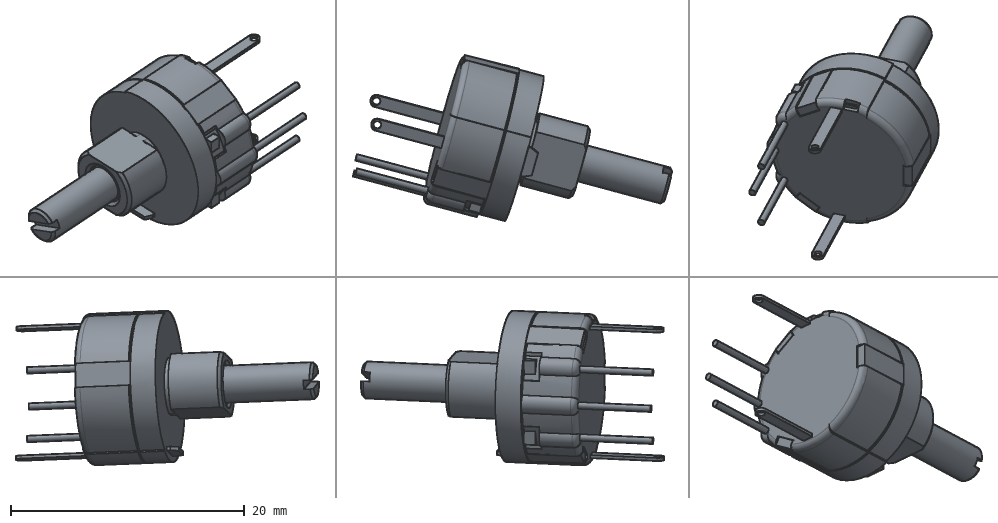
import cadquery as cq
import math


housing_radius = 6.5
relieved_radius = 6.37
relief_x = -2.23
base_length = 2.2
groove_width = 0.15
groove_radius = 6.15
cover_start = base_length + groove_width
cover_end = 7.16
back_fillet = 0.55

strap_angles = (58, 180, 302)
strap_width = 2.1
strap_end = 7.0
strap_inner_radius = 5.5
strap_front_radius = 6.35
strap_back_radius = 6.28

pin_angles = (-30, 0, 30)
pin_circle_radius = 6.0
pin_radius = 0.29
boss_radius = 0.91
terminal_end = 13.5

boss_recess_radius = 6.3
boss_recess_z = 2.01
boss_recess_end = 3.75
boss_block_end = 3.35
boss_block_inner_x = 4.94
boss_block_outer_x = 5.78
boss_block_z = 3.69

blade_z = 5.68
blade_width = 1.04
blade_thickness = 0.28
blade_hole_radius = 0.33
upper_blade_x = 0.52
lower_blade_x = 0.25

notch_start_x = -1.42
notch_end_x = -0.12
notch_front_y = 6.52
notch_floor_z = 5.85
notch_shelf_start_x = -1.13
notch_shelf_y = 6.75
notch_shelf_z = 6.1

collar_length = 0.5
collar_radius = 2.462
bushing_radius = 3.2
bushing_end = -5.05
bushing_chamfer = 0.28
half_across_flats = 2.425
countersink_radius = 2.07
countersink_floor_radius = 1.77
countersink_depth = 0.22

shaft_radius = 1.6
shaft_length = 7.71
shaft_end = bushing_end - shaft_length
shaft_chamfer = 0.25
slot_width = 0.8
slot_depth = 0.8
slot_angle = 24

tab_width = 2.6
tab_thickness = 0.33
tab_length = 0.95
tab_chamfer_width = 0.3
tab_chamfer_length = 0.65
tab_z = -5.68

overlap = 1.0
clearance = 1.0


def cylinder(radius, y_start, y_end, x=0, z=0):
    """Cylinder along Y."""
    axis = cq.Vector(0, 1, 0)
    foot = cq.Vector(x, y_start, z)
    return cq.Workplane(cq.Solid.makeCylinder(radius, y_end - y_start, foot, axis))


def block(x_range, y_range, z_range):
    """Box given by its limits along each axis."""
    ranges = (x_range, y_range, z_range)
    sizes = [end - start for start, end in ranges]
    corner = cq.Vector(*[start for start, end in ranges])
    return cq.Workplane(cq.Solid.makeBox(*sizes, corner))


def turn_about_axis(shape, angle):
    """Turn from +X towards +Z about the shaft axis."""
    return shape.rotate((0, 0, 0), (0, 1, 0), -angle)


def pin_centre(angle):
    angle_rad = math.radians(angle)
    return pin_circle_radius * math.cos(angle_rad), pin_circle_radius * math.sin(angle_rad)


def with_relieved_side(full, relieved):
    """Use the relieved shape on the -X side of the relief line and the full shape elsewhere."""
    reach = housing_radius + clearance
    left_side = block((-reach, relief_x), (-clearance, cover_end + clearance), (-reach, reach))
    return full.cut(left_side).union(relieved.intersect(left_side))


def make_base():
    full = cylinder(housing_radius, 0, base_length)
    relieved = cylinder(relieved_radius, 0, base_length)
    return with_relieved_side(full, relieved).union(cylinder(groove_radius, 0, cover_start + overlap))


def rounded_cylinder(radius, x=0, z=0):
    """Cover-length cylinder with a rounded back edge."""
    return cylinder(radius, cover_start, cover_end, x, z).faces(">Y").edges().fillet(back_fillet)


def make_outer_boss_recess():
    """Cutter that steps back the front of the upper outer boss but leaves a square block."""
    reach = housing_radius + clearance
    recess = block(
        (boss_block_inner_x, reach), (cover_start, boss_recess_end), (boss_recess_z, reach)
    )
    recess = recess.cut(cylinder(boss_recess_radius, cover_start, boss_recess_end))
    square = block(
        (boss_block_inner_x, boss_block_outer_x), (cover_start, boss_block_end), (0, boss_block_z)
    )
    return recess.cut(square)


def make_notch():
    """Cutter for the notch beside the upper blade, with a shelf along its front."""
    back = cover_end + clearance
    top = housing_radius + clearance
    notch = block((notch_start_x, notch_end_x), (notch_front_y, back), (notch_floor_z, top))
    shelf = block(
        (notch_shelf_start_x, notch_end_x),
        (notch_front_y, notch_shelf_y),
        (notch_floor_z, notch_shelf_z),
    )
    return notch.cut(shelf)


def make_cover():
    cover = with_relieved_side(rounded_cylinder(housing_radius), rounded_cylinder(relieved_radius))
    for angle in pin_angles:
        cover = cover.union(rounded_cylinder(boss_radius, *pin_centre(angle)))
    recess = make_outer_boss_recess()
    return cover.cut(recess).cut(recess.mirror("XY")).cut(make_notch())


def make_strap_slot(angle):
    slot = block(
        (strap_inner_radius, housing_radius + clearance),
        (base_length, cover_end + clearance),
        (-strap_width / 2, strap_width / 2),
    )
    return turn_about_axis(slot, angle)


def make_strap(angle):
    """Strap with a flat outer face that rises slightly towards the base."""
    strap = (
        cq.Workplane("XY")
        .workplane(offset=-strap_width / 2)
        .moveTo(strap_inner_radius - overlap, base_length)
        .lineTo(strap_front_radius, base_length)
        .lineTo(strap_back_radius, strap_end)
        .lineTo(strap_inner_radius - overlap, strap_end)
        .close()
        .extrude(strap_width)
    )
    return turn_about_axis(strap, angle)


def make_blade(x, z):
    """Flat terminal with a round, pierced tip."""
    half_width = blade_width / 2
    root = cover_end - overlap
    tip_centre_y = terminal_end - half_width
    return (
        cq.Workplane("XY")
        .workplane(offset=z - blade_thickness / 2)
        .moveTo(x - half_width, root)
        .lineTo(x - half_width, tip_centre_y)
        .threePointArc((x, terminal_end), (x + half_width, tip_centre_y))
        .lineTo(x + half_width, root)
        .close()
        .moveTo(x, tip_centre_y)
        .circle(blade_hole_radius)
        .extrude(blade_thickness)
    )


def make_bushing():
    """Chamfered bushing on a thin collar, cut by two flats, with a shallow recess around the shaft."""
    bushing = cylinder(bushing_radius, bushing_end, -collar_length)
    bushing = bushing.faces("<Y").edges().chamfer(bushing_chamfer)
    bushing = bushing.union(cylinder(collar_radius, -collar_length, overlap))
    reach = bushing_radius + clearance
    between_flats = block(
        (-reach, reach), (bushing_end, overlap), (-half_across_flats, half_across_flats)
    )
    bushing = bushing.intersect(between_flats)
    countersink = cq.Solid.makeCone(
        countersink_radius,
        countersink_floor_radius,
        countersink_depth,
        cq.Vector(0, bushing_end, 0),
        cq.Vector(0, 1, 0),
    )
    return bushing.cut(cq.Workplane(countersink))


def make_shaft():
    shaft = cylinder(shaft_radius, shaft_end, overlap)
    shaft = shaft.faces("<Y").edges().chamfer(shaft_chamfer)
    reach = shaft_radius + clearance
    slot = block(
        (-reach, reach),
        (shaft_end - clearance, shaft_end + slot_depth),
        (-slot_width / 2, slot_width / 2),
    )
    return shaft.cut(turn_about_axis(slot, slot_angle))


def make_tab():
    """Locating tab with bevelled front corners."""
    half_width = tab_width / 2
    tip_half_width = half_width - tab_chamfer_width
    shoulder_y = tab_chamfer_length - tab_length
    return (
        cq.Workplane("XY")
        .workplane(offset=tab_z - tab_thickness / 2)
        .polyline(
            [
                (-half_width, overlap),
                (-half_width, shoulder_y),
                (-tip_half_width, -tab_length),
                (tip_half_width, -tab_length),
                (half_width, shoulder_y),
                (half_width, overlap),
            ]
        )
        .close()
        .extrude(tab_thickness)
    )


result = make_base().union(make_cover())
for strap_angle in strap_angles:
    result = result.cut(make_strap_slot(strap_angle)).union(make_strap(strap_angle))
for pin_angle in pin_angles:
    pin_x, pin_z = pin_centre(pin_angle)
    result = result.union(cylinder(pin_radius, cover_end - overlap, terminal_end, pin_x, pin_z))
result = result.union(make_blade(upper_blade_x, blade_z))
result = result.union(make_blade(lower_blade_x, -blade_z))
result = result.union(make_bushing())
result = result.union(make_shaft())
result = result.union(make_tab())